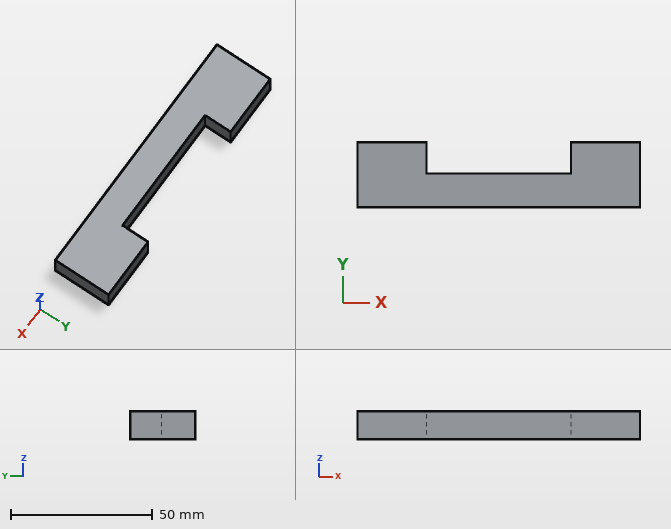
import cadquery as cq

length = 100.0
depth = 23.0
height = 10.0

notch_width = 51.0
notch_depth = 11.0

block = cq.Workplane("XY").box(length, depth, height)
notch = (
    cq.Workplane("XY")
    .box(notch_width, notch_depth, height)
    .translate((0, (depth - notch_depth) / 2, 0))
)

result = block.cut(notch)